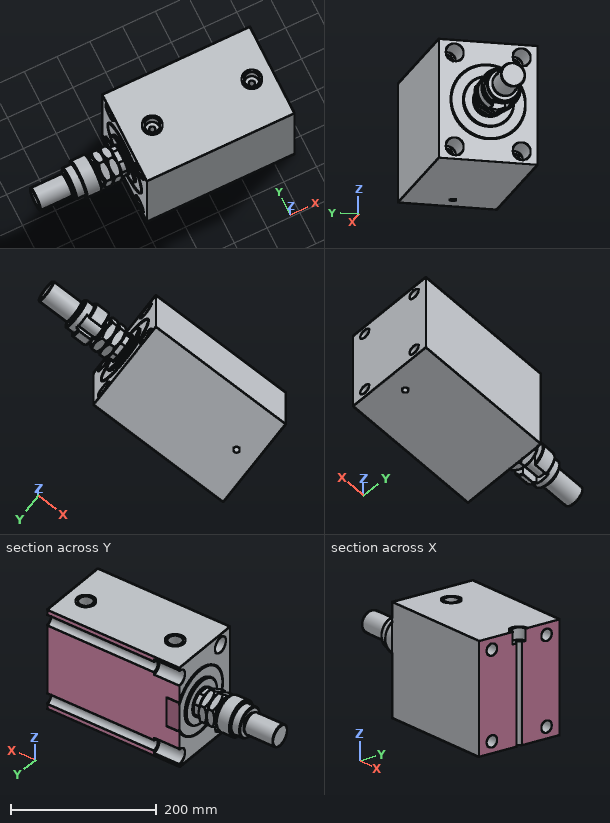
import cadquery as cq
import math

total_length = 362.0
block_front_x = 136.5
block_width = 140.0
block_height = 170.0
block_length = total_length - block_front_x

mount_spacing_y = 95.0
mount_spacing_z = 134.3
mount_radius = 8.7
mount_bore_radius = 12.5
mount_bore_depth = 43.5

front_port_x = 179.0
rear_port_x = 331.0
port_face_radius = 14.0
port_face_depth = 0.5
port_radius = 11.0
port_depth = 18.0
port_drill_radius = 4.5

gland_radius = 53.2
gland_depth = 21.7
gland_chamfer = 1.0
gland_boss_radius = 36.0
gland_boss_height = 3.3
gland_boss_chamfer = 0.7

rod_radius = 22.5
rod_front_x = 122.0
rod_end_x = 217.2
rod_flat_distance = 20.3
rod_flat_end_x = 131.5
rod_tip_radius = 22.0
rod_tip_chamfer = 0.7

hex_across_flats = 47.0
hex_corner_radius = hex_across_flats / 2 / math.cos(math.radians(30))
hex_face_radius = 22.8
hex_chamfer_length = 3.3
hex_front_x = 94.5
hex_count = 2
hex_length = (rod_front_x - hex_front_x) / hex_count
stud_neck_radius = 11.5
stud_shoulder_radius = 13.0
stud_shoulder_length = 1.5

pin_radius = 17.0
pin_length = 50.0
pin_tip_chamfer = 0.7
pin_neck_chamfer = 1.8
pin_neck_radius = 15.2
flange_radius = 23.5
flange_front_x = 51.5
ring_radius = 28.0
ring_front_x = 65.5
ring_end_x = 88.7
collar_chamfer = 1.0
slot_front_x = 62.0
slot_radius = stud_neck_radius


def cylinder_along_x(start_x, end_x, radius):
    """Round bar on the main axis from start_x to end_x."""
    return cq.Workplane("YZ", origin=(start_x, 0, 0)).circle(radius).extrude(end_x - start_x)


def cylinder_down(center_x, top_z, bottom_z, radius):
    """Vertical round bar from top_z down to bottom_z."""
    return cq.Workplane("XY", origin=(center_x, 0, bottom_z)).circle(radius).extrude(top_z - bottom_z)


def make_gland():
    plug = cylinder_along_x(block_front_x, block_front_x + gland_depth, gland_radius)
    plug = plug.faces("<X").chamfer(gland_chamfer)
    boss = cylinder_along_x(block_front_x - gland_boss_height, block_front_x, gland_boss_radius)
    boss = boss.faces("<X").chamfer(gland_boss_chamfer)
    rod_hole = cylinder_along_x(rod_flat_end_x, rod_end_x, rod_radius)
    return plug.union(boss).cut(rod_hole)


def make_housing():
    block = cq.Workplane("XY").box(block_length, block_width, block_height)
    block = block.translate((block_front_x + block_length / 2, 0, 0))
    block = block.cut(cylinder_along_x(block_front_x, block_front_x + gland_depth, gland_radius))
    block = block.cut(cylinder_along_x(block_front_x, rod_end_x, rod_radius))
    block = (
        block.faces("<X").workplane(origin=(block_front_x, 0, 0))
        .rect(mount_spacing_y, mount_spacing_z, forConstruction=True).vertices()
        .cboreHole(2 * mount_radius, 2 * mount_bore_radius, mount_bore_depth)
    )
    top_z = block_height / 2
    for port_x, drill_end_z in ((front_port_x, 0), (rear_port_x, -top_z)):
        block = block.cut(cylinder_down(port_x, top_z, top_z - port_face_depth, port_face_radius))
        block = block.cut(cylinder_down(port_x, top_z, top_z - port_depth, port_radius))
        block = block.cut(cylinder_down(port_x, top_z, drill_end_z, port_drill_radius))
    return block


def make_rod():
    flat_length = rod_flat_end_x - rod_front_x
    square = cq.Workplane("YZ", origin=(rod_front_x, 0, 0))
    square = square.rect(2 * rod_flat_distance, 2 * rod_flat_distance).extrude(flat_length)
    tip = cylinder_along_x(rod_front_x, rod_flat_end_x, rod_tip_radius)
    tip = tip.faces("<X").chamfer(rod_tip_chamfer).intersect(square)
    return cylinder_along_x(rod_flat_end_x, rod_end_x, rod_radius).union(tip)


def make_hexagon(start_x):
    prism = cq.Workplane("YZ", origin=(start_x, 0, 0))
    prism = prism.polygon(6, 2 * hex_corner_radius).extrude(hex_length)
    prism = prism.rotate((0, 0, 0), (1, 0, 0), 90)
    envelope = cylinder_along_x(start_x, start_x + hex_length, hex_corner_radius)
    corner_drop = hex_corner_radius - hex_face_radius
    envelope = envelope.faces("<X or >X").edges().chamfer(hex_chamfer_length, corner_drop)
    return prism.intersect(envelope)


def make_stud():
    stud = cylinder_along_x(slot_front_x, hex_front_x, stud_neck_radius)
    shoulder = cylinder_along_x(hex_front_x - stud_shoulder_length, hex_front_x, stud_shoulder_radius)
    stud = stud.union(shoulder)
    for index in range(hex_count):
        stud = stud.union(make_hexagon(hex_front_x + index * hex_length))
    return stud


def make_coupling():
    pin = cylinder_along_x(0, pin_length, pin_radius).faces("<X").chamfer(pin_tip_chamfer)
    pin = pin.faces(">X").chamfer(pin_neck_chamfer)
    pin_neck = cylinder_along_x(pin_length, flange_front_x, pin_neck_radius)
    flange = cylinder_along_x(flange_front_x, ring_front_x, flange_radius)
    flange = flange.faces("<X").chamfer(collar_chamfer)
    ring = cylinder_along_x(ring_front_x, ring_end_x, ring_radius)
    ring = ring.faces("<X or >X").chamfer(collar_chamfer)
    coupling = pin.union(pin_neck).union(flange).union(ring)

    slot_length = ring_end_x - slot_front_x
    slot = cq.Workplane("XY", origin=(slot_front_x, 0, -ring_radius))
    slot = slot.rect(slot_length, 2 * slot_radius).extrude(ring_radius).translate((slot_length / 2, 0, 0))
    slot_round = cylinder_along_x(slot_front_x, ring_end_x, slot_radius)
    return coupling.cut(slot).cut(slot_round)


housing = make_housing()
gland = make_gland()
rod = make_rod()
stud = make_stud()
coupling = make_coupling()

result = cq.Compound.makeCompound(
    [housing.val(), gland.val(), rod.val(), stud.val(), coupling.val()]
)